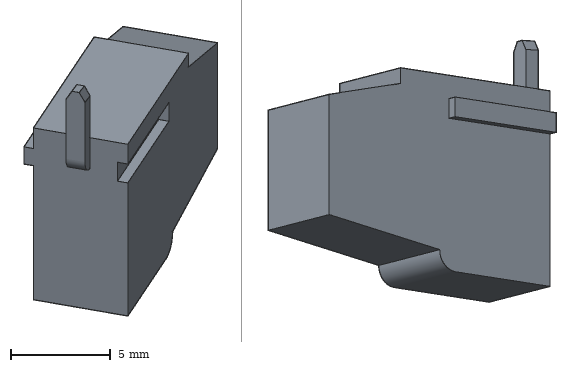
import cadquery as cq

width = 5.0
length = 14.0
height = 10.0

step_y = 9.47
step_z = 9.2
back_top_z = 8.08
back_bottom_z = 1.92
foot_radius = 1.0
foot_end_y = 7.0

rib_depth = 0.5
rib_height = 1.0
rib_length = 6.41
rib_center_z = 8.3
groove_clearance = 0.05

pin_width = 1.0
pin_thickness = 0.8
pin_top_z = 13.02
pin_bend_z = 9.03
pin_tip_width = 0.4
pin_tip_height = 0.52
pin_tip_drop = 0.06


def make_housing():
    """Extrude the side profile (Y, Z) symmetrically across the width."""
    arc_offset = foot_radius * 0.5 ** 0.5
    foot_center_y = foot_end_y - foot_radius
    return (
        cq.Workplane("YZ")
        .lineTo(foot_center_y, 0)
        .threePointArc(
            (foot_center_y + arc_offset, foot_radius - arc_offset),
            (foot_end_y, foot_radius),
        )
        .lineTo(length, back_bottom_z)
        .lineTo(length, back_top_z)
        .lineTo(step_y, step_z)
        .lineTo(step_y, height)
        .lineTo(0, height)
        .close()
        .extrude(width / 2, both=True)
    )


def make_side_bar(start_x, depth, bar_height):
    """Bar running back from the front face, starting at start_x and going +X."""
    return (
        cq.Workplane("XY")
        .box(depth, rib_length, bar_height, centered=(False, False, True))
        .translate((start_x, 0, rib_center_z))
    )


def make_pin():
    """Upright pin with a rounded outer bend and a slightly slanted, tapered tip."""
    arc_offset = pin_thickness * 0.5 ** 0.5
    side = (
        cq.Workplane("YZ")
        .moveTo(0, pin_bend_z - pin_thickness)
        .threePointArc((-arc_offset, pin_bend_z - arc_offset), (-pin_thickness, pin_bend_z))
        .lineTo(-pin_thickness, pin_top_z)
        .lineTo(0, pin_top_z)
        .close()
        .extrude(pin_width / 2, both=True)
    )
    tip_plane = cq.Plane(
        origin=(0, -pin_thickness, pin_top_z),
        xDir=(1, 0, 0),
        normal=(0, -pin_thickness, pin_tip_drop),
    )
    front = (
        cq.Workplane(tip_plane)
        .moveTo(-pin_width / 2, -height)
        .lineTo(pin_width / 2, -height)
        .lineTo(pin_width / 2, -pin_tip_height)
        .lineTo(pin_tip_width / 2, 0)
        .lineTo(-pin_tip_width / 2, 0)
        .lineTo(-pin_width / 2, -pin_tip_height)
        .close()
        .extrude(2 * pin_thickness, both=True)
    )
    return side.intersect(front)


rib = make_side_bar(-width / 2 - rib_depth, rib_depth, rib_height)
groove_depth = rib_depth + groove_clearance
groove_height = rib_height + 2 * groove_clearance
groove = make_side_bar(width / 2 - groove_depth, groove_depth, groove_height)

result = make_housing().union(rib).cut(groove).union(make_pin())